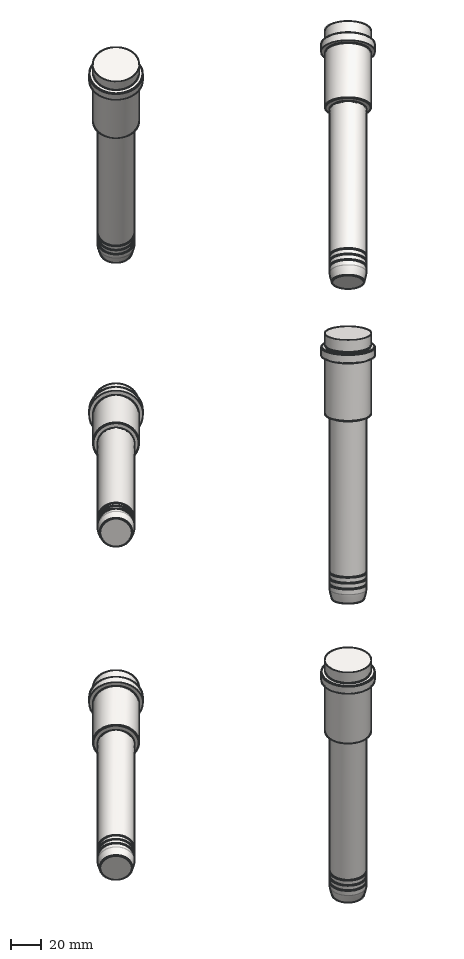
import cadquery as cq

total_length = 180.0
flange_top = 171.0
flange_bottom = 165.0
sleeve_bottom = 125.0
nose_height = 7.0

flange_radius = 35.0 / 2
sleeve_radius = 30.0 / 2
shaft_radius = 24.1 / 2
nose_end_radius = 10.6
nose_mid_radius = 11.5

edge_chamfer = 0.5
tip_chamfer = 0.5
relief_width = 1.0
relief_depth = edge_chamfer
shaft_relief_depth = 1.0

groove_count = 3
groove_pitch = 4.0
groove_width = 0.9
groove_depth = 0.4
lowest_groove_center = 10.6


def cylinder(radius, bottom, top):
    """Solid cylinder on the Z axis between two heights."""
    return cq.Workplane("XY").workplane(offset=bottom).circle(radius).extrude(top - bottom)


def ring_groove(outer_radius, depth, bottom, width):
    """Ring to cut a square groove into a cylinder of the given radius."""
    ring = cylinder(outer_radius, bottom, bottom + width)
    return ring.cut(cylinder(outer_radius - depth, bottom, bottom + width))


def vee_groove(outer_radius, depth, center, width):
    """Ring to cut a V-shaped groove centered at the given height."""
    profile = cq.Workplane("XZ").polyline([
        (outer_radius, center - width / 2),
        (outer_radius - depth, center),
        (outer_radius, center + width / 2),
    ])
    return profile.close().revolve(360, (0, 0, 0), (0, 1, 0))


def make_shaft():
    """Guide shaft with a bulging tapered nose and a chamfered tip."""
    profile = (
        cq.Workplane("XZ")
        .lineTo(nose_end_radius - tip_chamfer, 0)
        .lineTo(nose_end_radius, tip_chamfer)
        .threePointArc(
            (nose_mid_radius, (nose_height + tip_chamfer) / 2),
            (shaft_radius, nose_height),
        )
        .lineTo(shaft_radius, sleeve_bottom)
        .lineTo(0, sleeve_bottom)
        .close()
    )
    shaft = profile.revolve(360, (0, 0, 0), (0, 1, 0))
    for index in range(groove_count):
        center = lowest_groove_center + index * groove_pitch
        shaft = shaft.cut(vee_groove(shaft_radius, groove_depth, center, groove_width))
    relief_bottom = sleeve_bottom - relief_width
    return shaft.cut(ring_groove(shaft_radius, shaft_relief_depth, relief_bottom, relief_width))


def make_head():
    """Mounting sleeve with its flange and the relief grooves beside it."""
    neck_bottom = flange_bottom - relief_width
    neck_top = flange_top + relief_width
    neck = cylinder(sleeve_radius - relief_depth, neck_bottom, neck_top)
    sleeve = cylinder(sleeve_radius, sleeve_bottom, neck_bottom + edge_chamfer)
    sleeve = sleeve.faces("<Z or >Z").chamfer(edge_chamfer)
    cap = cylinder(sleeve_radius, neck_top - edge_chamfer, total_length)
    cap = cap.faces("<Z").chamfer(edge_chamfer)
    flange = cylinder(flange_radius, flange_bottom, flange_top).faces(">Z").chamfer(edge_chamfer)
    return sleeve.union(neck).union(cap).union(flange)


result = make_head().union(make_shaft())